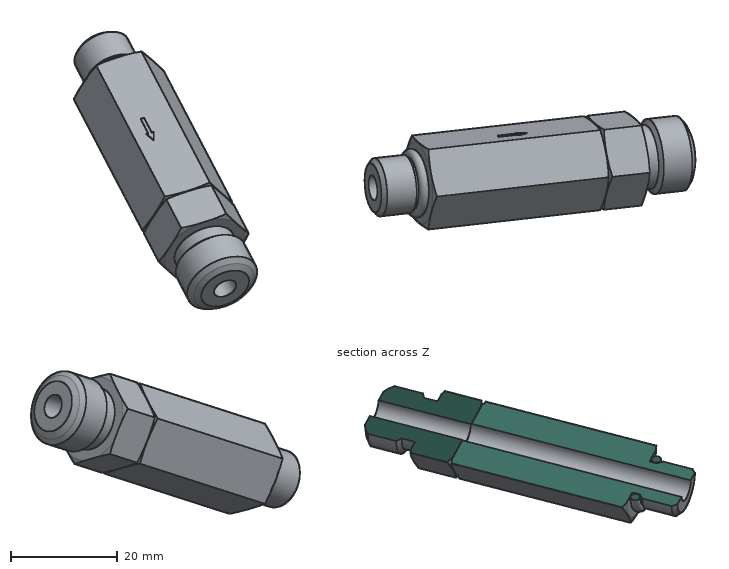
import cadquery as cq
import math

TOTAL_LENGTH = 62.93

HEX_FLATS = 15.88
HEX_CORNERS = HEX_FLATS / math.cos(math.radians(30))
HEX_CHAMFER_ANGLE = 15.0
HEX_FACE_DIAMETER = 15.5
REAR_FACE_DIAMETER = 16.2

STUD_CHAMFER_END = 0.85
STUD_THREAD_END = 6.75
HOUSING_HEX_START = 9.1
JOINT = 44.3
FITTING_HEX_END = 52.45
RELIEF_END = 55.1
FITTING_THREAD_START = 55.75
FITTING_THREAD_END = 61.45
NOSE_START = 62.3

STUD_TIP_DIAMETER = 9.3
STUD_THREAD_DIAMETER = 11.1
STUD_GROOVE_DIAMETER = 9.3
HOUSING_BORE_DIAMETER = 4.78

O_RING_SECTION = 1.88

RELIEF_DIAMETER = 12.14
FITTING_THREAD_DIAMETER = 14.28
NOSE_DIAMETER = 12.3
NOSE_TIP_DIAMETER = 9.73
FITTING_BORE_DIAMETER = 4.5

ARROW_START = 24.65
ARROW_HEAD_START = 28.5
ARROW_TIP = 30.4
ARROW_SHAFT_WIDTH = 0.7
ARROW_HEAD_WIDTH = 1.45
ARROW_CENTRE_Y = -1.35
ARROW_DEPTH = 0.1


def revolve_about_x(points):
    """Turn a closed (x, radius) outline into a solid of revolution."""
    return cq.Workplane("XY").polyline(points).close().revolve(360, (0, 0, 0), (1, 0, 0))


def cylinder_x(start, end, diameter):
    return cq.Workplane("YZ", origin=(start, 0, 0)).circle(diameter / 2).extrude(end - start)


def chamfered_hexagon(start, end, start_face_diameter, end_face_diameter):
    """Hexagonal bar whose corners are turned down to a circle at each end face."""
    bar = cq.Workplane("YZ", origin=(start, 0, 0)).polygon(6, HEX_CORNERS).extrude(end - start)
    slope = math.tan(math.radians(HEX_CHAMFER_ANGLE))
    outer_radius = HEX_CORNERS
    start_radius = start_face_diameter / 2
    end_radius = end_face_diameter / 2
    envelope = revolve_about_x([
        (start, 0),
        (start, start_radius),
        (start + (outer_radius - start_radius) * slope, outer_radius),
        (end - (outer_radius - end_radius) * slope, outer_radius),
        (end, end_radius),
        (end, 0),
    ])
    return bar.intersect(envelope)


def flow_arrow():
    shaft = ARROW_SHAFT_WIDTH / 2
    head = ARROW_HEAD_WIDTH / 2
    outline = [
        (ARROW_START, -shaft),
        (ARROW_HEAD_START, -shaft),
        (ARROW_HEAD_START, -head),
        (ARROW_TIP, 0),
        (ARROW_HEAD_START, head),
        (ARROW_HEAD_START, shaft),
        (ARROW_START, shaft),
    ]
    floor = HEX_FLATS / 2 - ARROW_DEPTH
    plane = cq.Workplane("XY", origin=(0, ARROW_CENTRE_Y, floor))
    return plane.polyline(outline).close().extrude(2 * ARROW_DEPTH)


def make_housing():
    """Hexagonal housing with a threaded port stud and an O-ring groove."""
    thread_radius = STUD_THREAD_DIAMETER / 2
    groove_radius = STUD_GROOVE_DIAMETER / 2
    groove_start = STUD_THREAD_END + (thread_radius - groove_radius)
    stud = revolve_about_x([
        (0, 0),
        (0, STUD_TIP_DIAMETER / 2),
        (STUD_CHAMFER_END, thread_radius),
        (STUD_THREAD_END, thread_radius),
        (groove_start, groove_radius),
        (HOUSING_HEX_START, groove_radius),
        (HOUSING_HEX_START, 0),
    ])
    hexagon = chamfered_hexagon(HOUSING_HEX_START, JOINT, HEX_FACE_DIAMETER, HEX_FACE_DIAMETER)
    bore = cylinder_x(0, JOINT, HOUSING_BORE_DIAMETER)
    return stud.union(hexagon).cut(bore).cut(flow_arrow())


def make_o_ring():
    section_radius = O_RING_SECTION / 2
    ring_radius = STUD_GROOVE_DIAMETER / 2 + section_radius
    centre_x = HOUSING_HEX_START - section_radius
    return (
        cq.Workplane("XY")
        .center(centre_x, ring_radius)
        .circle(section_radius)
        .revolve(360, (0, -ring_radius, 0), (1, -ring_radius, 0))
    )


def make_end_fitting():
    """Hexagonal end fitting with a thread relief and a tapered threaded end."""
    thread_radius = FITTING_THREAD_DIAMETER / 2
    threaded_end = revolve_about_x([
        (FITTING_HEX_END, 0),
        (FITTING_HEX_END, RELIEF_DIAMETER / 2),
        (RELIEF_END, RELIEF_DIAMETER / 2),
        (FITTING_THREAD_START, thread_radius),
        (FITTING_THREAD_END, thread_radius),
        (NOSE_START, NOSE_DIAMETER / 2),
        (TOTAL_LENGTH, NOSE_TIP_DIAMETER / 2),
        (TOTAL_LENGTH, 0),
    ])
    hexagon = chamfered_hexagon(JOINT, FITTING_HEX_END, HEX_FACE_DIAMETER, REAR_FACE_DIAMETER)
    bore = cylinder_x(JOINT, TOTAL_LENGTH, FITTING_BORE_DIAMETER)
    return hexagon.union(threaded_end).cut(bore)


housing = make_housing()
o_ring = make_o_ring()
end_fitting = make_end_fitting()

result = cq.Compound.makeCompound([housing.val(), o_ring.val(), end_fitting.val()])